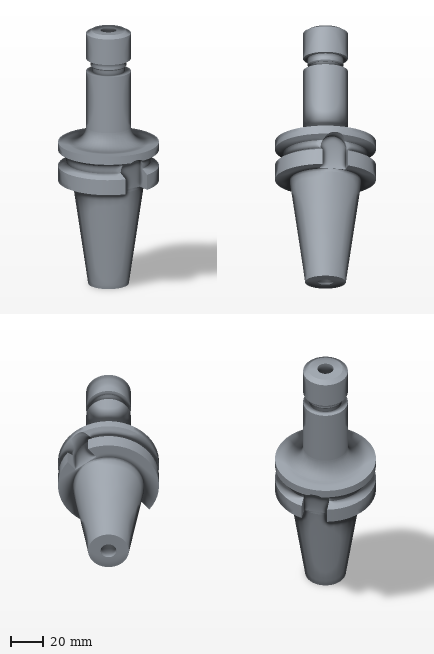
import cadquery as cq

TOTAL_HEIGHT = 165.4
GAUGE_HEIGHT = 65.3
FLANGE_BOTTOM = 67.3
FLANGE_TOP = 92.5
GROOVE_LOWER_EDGE = 77.0
GROOVE_FLOOR_BOTTOM = 79.7
GROOVE_FLOOR_TOP = 84.7
GROOVE_UPPER_EDGE = 87.2
NECK_TOP = 138.8
COLLAR_BOTTOM = 141.9
COLLAR_CHAMFER = 0.8
NUT_BOTTOM = 146.9
NUT_CHAMFER_HEIGHT = 1.8

GAUGE_RADIUS = 44.5 / 2
TAPER_RATIO = 7 / 24
TAPER_END_RADIUS = GAUGE_RADIUS - GAUGE_HEIGHT * TAPER_RATIO / 2
FLANGE_RADIUS = 63.0 / 2
GROOVE_RADIUS = 52.8 / 2
NECK_RADIUS = 28.0 / 2
NECK_FILLET = 10.0
UNDERCUT_RADIUS = 20.3 / 2
COLLAR_RADIUS = 22.5 / 2
NUT_RADIUS = NECK_RADIUS
NUT_FACE_RADIUS = 21.5 / 2
BORE_DIAMETER = 10.0

SLOT_WIDTH = 16.4
SLOT_TOP = 88.5
SLOT_FLOOR = 22.5


def make_body():
    """Revolve the taper, grooved flange, neck and nut about Z."""
    fillet_center_radius = NECK_RADIUS + NECK_FILLET
    fillet_center_height = FLANGE_TOP + NECK_FILLET
    diagonal_reach = NECK_FILLET * 0.5**0.5
    profile = (
        cq.Workplane("XZ")
        .lineTo(TAPER_END_RADIUS, 0)
        .lineTo(GAUGE_RADIUS, GAUGE_HEIGHT)
        .lineTo(GAUGE_RADIUS, FLANGE_BOTTOM)
        .lineTo(FLANGE_RADIUS, FLANGE_BOTTOM)
        .lineTo(FLANGE_RADIUS, GROOVE_LOWER_EDGE)
        .lineTo(GROOVE_RADIUS, GROOVE_FLOOR_BOTTOM)
        .lineTo(GROOVE_RADIUS, GROOVE_FLOOR_TOP)
        .lineTo(FLANGE_RADIUS, GROOVE_UPPER_EDGE)
        .lineTo(FLANGE_RADIUS, FLANGE_TOP)
        .lineTo(fillet_center_radius, FLANGE_TOP)
        .threePointArc(
            (fillet_center_radius - diagonal_reach, fillet_center_height - diagonal_reach),
            (NECK_RADIUS, fillet_center_height),
        )
        .lineTo(NECK_RADIUS, NECK_TOP)
        .lineTo(UNDERCUT_RADIUS, NECK_TOP)
        .lineTo(UNDERCUT_RADIUS, COLLAR_BOTTOM)
        .lineTo(COLLAR_RADIUS - COLLAR_CHAMFER, COLLAR_BOTTOM)
        .lineTo(COLLAR_RADIUS, COLLAR_BOTTOM + COLLAR_CHAMFER)
        .lineTo(COLLAR_RADIUS, NUT_BOTTOM)
        .lineTo(NUT_RADIUS, NUT_BOTTOM)
        .lineTo(NUT_RADIUS, TOTAL_HEIGHT - NUT_CHAMFER_HEIGHT)
        .lineTo(NUT_FACE_RADIUS, TOTAL_HEIGHT)
        .lineTo(0, TOTAL_HEIGHT)
        .close()
    )
    return profile.revolve(360, (0, 0, 0), (0, 1, 0))


def make_drive_slot(side):
    """Round-topped slot cutter, open at the flange bottom, on the +X or -X side."""
    half_width = SLOT_WIDTH / 2
    arc_center_height = SLOT_TOP - half_width
    return (
        cq.Workplane("YZ", origin=(side * SLOT_FLOOR, 0, 0))
        .moveTo(-half_width, FLANGE_BOTTOM)
        .lineTo(-half_width, arc_center_height)
        .threePointArc((0, SLOT_TOP), (half_width, arc_center_height))
        .lineTo(half_width, FLANGE_BOTTOM)
        .close()
        .extrude(side * FLANGE_RADIUS)
    )


result = make_body()
for slot_side in (-1, 1):
    result = result.cut(make_drive_slot(slot_side))

through_bore = cq.Workplane("XY").circle(BORE_DIAMETER / 2).extrude(TOTAL_HEIGHT)
result = result.cut(through_bore)